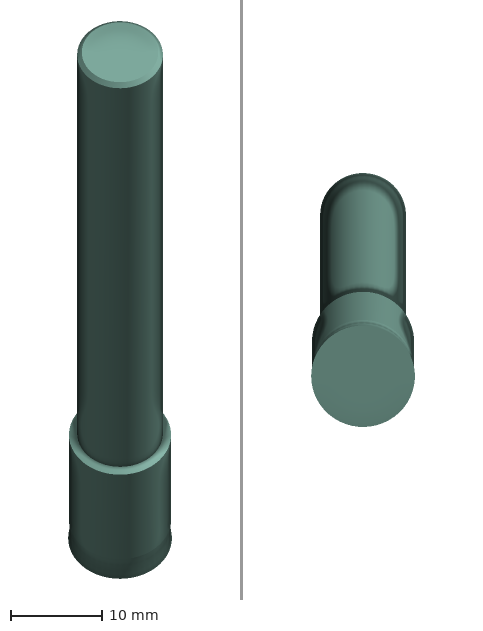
import cadquery as cq

total_length = 85.7
tip_diameter = 11.4
shank_diameter = 9.4
collar_diameter = 11.2

tip_height = 3.3
shoulder_height = 18.25

shoulder_rise = 0.25
top_chamfer_width = 0.5
top_chamfer_height = 0.4
waist_depth = 0.07

tip_radius = tip_diameter / 2
collar_radius = collar_diameter / 2
shank_radius = shank_diameter / 2


def make_holder():
    """Round shank with a chamfered end and a wider collar under a conical shoulder."""
    half_profile = (
        cq.Workplane("XZ")
        .moveTo(0, tip_height)
        .lineTo(collar_radius, tip_height)
        .lineTo(collar_radius, shoulder_height)
        .lineTo(shank_radius, shoulder_height + shoulder_rise)
        .lineTo(shank_radius, total_length - top_chamfer_height)
        .lineTo(shank_radius - top_chamfer_width, total_length)
        .lineTo(0, total_length)
        .close()
    )
    return half_profile.revolve(360, (0, 0, 0), (0, 1, 0))


def make_tip():
    """Disc below the collar, with a shallow concave rim that flares to the free face."""
    waist_radius = collar_radius - waist_depth
    half_profile = (
        cq.Workplane("XZ")
        .lineTo(tip_radius, 0)
        .threePointArc((waist_radius, tip_height / 2), (collar_radius, tip_height))
        .lineTo(0, tip_height)
        .close()
    )
    return half_profile.revolve(360, (0, 0, 0), (0, 1, 0))


holder = make_holder()
tip = make_tip()

result = cq.Compound.makeCompound([holder.val(), tip.val()])